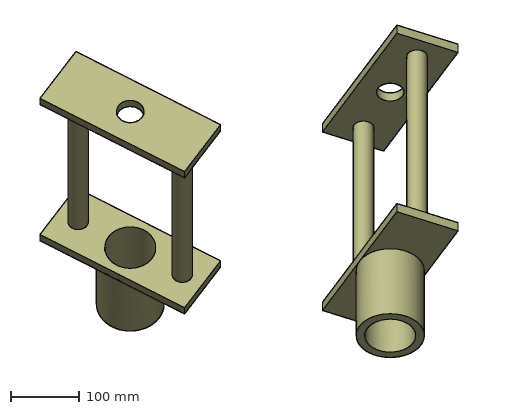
import cadquery as cq

total_height = 482.5
plate_length = 250.0
plate_width = 100.0

plate_thickness = 16.0
top_hole_diameter = 40.0
rod_diameter = 30.5
rod_spacing = 180.0
tube_length = 124.5
tube_outer_diameter = plate_width
tube_bore_diameter = 75.0

lower_plate_top = tube_length + plate_thickness
upper_plate_bottom = total_height - plate_thickness


def plate(bottom, hole_diameter):
    """Rectangular plate with a central through hole."""
    return (
        cq.Workplane("XY", origin=(0, 0, bottom))
        .rect(plate_length, plate_width)
        .circle(hole_diameter / 2)
        .extrude(plate_thickness)
    )


tube = (
    cq.Workplane("XY")
    .circle(tube_outer_diameter / 2)
    .circle(tube_bore_diameter / 2)
    .extrude(tube_length)
)

rods = (
    cq.Workplane("XY", origin=(0, 0, lower_plate_top))
    .pushPoints([(-rod_spacing / 2, 0), (rod_spacing / 2, 0)])
    .circle(rod_diameter / 2)
    .extrude(upper_plate_bottom - lower_plate_top)
)

lower_plate = plate(tube_length, tube_bore_diameter)
upper_plate = plate(upper_plate_bottom, top_hole_diameter)
result = tube.union(lower_plate).union(rods).union(upper_plate)